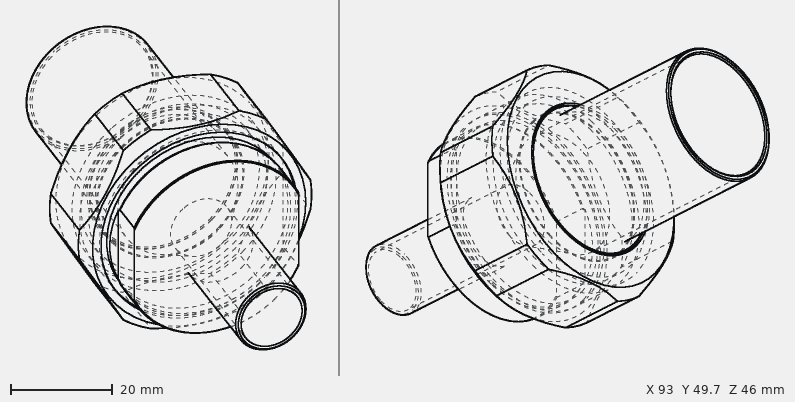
import cadquery as cq
import math

total_length = 93.0
nut_front = 36.5
nut_length = 19.1
nut_back = nut_front + nut_length
collar_back = 64.6

tube_radius = 28.0 / 2
tube_bore_radius = 25.6 / 2
tube_end_chamfer = 0.3
hub_radius = 31.0 / 2
hub_fillet_radius = 1.0
hub_fillet_start = 35.6
flange_radius = 38.0 / 2
flange_thickness = 4.0

nut_across_flats = 46.0
nut_corner_radius = 49.67 / 2
nut_face_radius = 45.4 / 2
nut_chamfer = nut_corner_radius - nut_face_radius
nut_wall = 4.0
nut_hole_radius = 31.5 / 2
nut_hole_chamfer = 0.3
thread_radius = 41.8 / 2

neck_radius = 38.5 / 2
neck_back = 56.7
thread_relief = 1.0
collar_radius = 38.95 / 2
collar_chamfer_length = 0.5
collar_across_flats = 35.0
flats_front = 56.1
flats_wall_draft = 0.3
collar_back_chamfer = 0.2
small_tube_radius = 15.0 / 2
small_bore_radius = 13.0 / 2
small_tube_fillet = 0.8
small_tube_chamfer = 0.4
taper_length = 12.0

flange_front = nut_front + nut_wall
flange_back = flange_front + flange_thickness


def revolve_about_x(profile):
    return profile.close().revolve(360, (0, 0, 0), (1, 0, 0))


def concave_arc_middle(center_x, center_radius, radius, x_side):
    """Middle of the quarter arc that faces the axis, on the given X side of its centre."""
    offset = radius * math.sqrt(0.5)
    return (center_x + x_side * offset, center_radius - offset)


def make_tailpiece():
    hub_face_radius = tube_radius + hub_fillet_radius
    hub_start = hub_fillet_start + hub_fillet_radius
    fillet_middle = concave_arc_middle(hub_fillet_start, hub_face_radius, hub_fillet_radius, 1)
    profile = (
        cq.Workplane("XY")
        .moveTo(tube_end_chamfer, tube_bore_radius)
        .lineTo(0, tube_bore_radius + tube_end_chamfer)
        .lineTo(0, tube_radius - tube_end_chamfer)
        .lineTo(tube_end_chamfer, tube_radius)
        .lineTo(hub_fillet_start, tube_radius)
        .threePointArc(fillet_middle, (hub_start, hub_face_radius))
        .lineTo(hub_start, hub_radius)
        .lineTo(flange_front, hub_radius)
        .lineTo(flange_front, flange_radius)
        .lineTo(flange_back, flange_radius)
        .lineTo(flange_back, tube_bore_radius)
    )
    return revolve_about_x(profile)


def make_nut():
    slab = cq.Workplane("XY").box(nut_length, 4 * nut_corner_radius, nut_across_flats)
    slab = slab.translate((nut_front + nut_length / 2, 0, 0))
    hexagon = slab
    for angle in (60, 120):
        hexagon = hexagon.intersect(slab.rotate((0, 0, 0), (1, 0, 0), angle))
    envelope = revolve_about_x(
        cq.Workplane("XY")
        .moveTo(nut_front, nut_hole_radius + nut_hole_chamfer)
        .lineTo(nut_front, nut_face_radius)
        .lineTo(nut_front + nut_chamfer, nut_corner_radius)
        .lineTo(nut_back - nut_chamfer, nut_corner_radius)
        .lineTo(nut_back, nut_face_radius)
        .lineTo(nut_back, thread_radius)
        .lineTo(flange_front, thread_radius)
        .lineTo(flange_front, nut_hole_radius)
        .lineTo(nut_front + nut_hole_chamfer, nut_hole_radius)
    )
    return hexagon.intersect(envelope)


def make_reducer():
    fillet_radius = small_tube_radius + small_tube_fillet
    fillet_end = collar_back + small_tube_fillet
    fillet_middle = concave_arc_middle(fillet_end, fillet_radius, small_tube_fillet, -1)
    thread_end = nut_back - thread_relief
    body = revolve_about_x(
        cq.Workplane("XY")
        .moveTo(flange_back, tube_bore_radius)
        .lineTo(flange_back, thread_radius)
        .lineTo(thread_end, thread_radius)
        .lineTo(thread_end, neck_radius)
        .lineTo(neck_back, neck_radius)
        .lineTo(neck_back + collar_chamfer_length, collar_radius)
        .lineTo(collar_back - collar_back_chamfer, collar_radius)
        .lineTo(collar_back, collar_radius - collar_back_chamfer)
        .lineTo(collar_back, fillet_radius)
        .threePointArc(fillet_middle, (fillet_end, small_tube_radius))
        .lineTo(total_length - small_tube_chamfer, small_tube_radius)
        .lineTo(total_length, small_tube_radius - small_tube_chamfer)
        .lineTo(total_length, small_bore_radius)
        .lineTo(flange_back + taper_length, small_bore_radius)
    )
    flat_offset = collar_across_flats / 2
    flat_cutter = (
        cq.Workplane("XY")
        .moveTo(flats_front + flats_wall_draft, flat_offset)
        .lineTo(flats_front, neck_radius)
        .lineTo(flats_front, thread_radius)
        .lineTo(collar_back, thread_radius)
        .lineTo(collar_back, flat_offset)
        .close()
        .extrude(collar_radius, both=True)
    )
    for cutter in (flat_cutter, flat_cutter.mirror("XZ")):
        body = body.cut(cutter)
    return body


tailpiece = make_tailpiece()
nut = make_nut()
reducer = make_reducer()

result = cq.Compound.makeCompound([tailpiece.val(), nut.val(), reducer.val()])